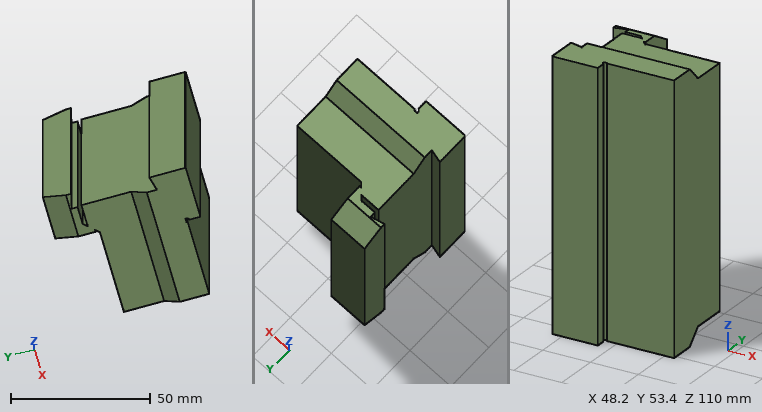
import cadquery as cq

length_x = 48.2
width_y = 53.4
height_z = 110.0

foot_depth = 19.2
foot_corner_chamfer = 0.3
body_front_y = 5.0

relief_inset = 0.7
relief_reach = 1.0
relief_drop = 1.0
relief_rise = 0.4

channel_depth = 5.2
front_lip_y = 13.5
rear_lip_y = 42.8
lip_undercut = 1.3
clip_inner_x = 5.5

clip_depth = 16.3
slit_front_y = 40.4
slit_rear_y = 41.9
slit_end_x = 13.5
body_rear_y = 36.8

notch_outer_x = 16.9
notch_height = 1.4

foot_shoulder_y = 16.0
end_step = 5.8
clip_slope_y = 44.7
clip_slope_drop = 5.0


def make_section():
    """Plan outline of the whole part, extruded over the full height."""
    slit_width = slit_rear_y - slit_front_y
    notch_y = body_rear_y + notch_height
    outline = [
        (foot_corner_chamfer, 0),
        (foot_depth, 0),
        (foot_depth, body_front_y - relief_drop),
        (foot_depth - relief_inset, body_front_y - relief_drop + relief_inset),
        (foot_depth - relief_inset, body_front_y + relief_rise),
        (foot_depth + relief_reach - relief_rise, body_front_y + relief_rise),
        (foot_depth + relief_reach, body_front_y),
        (length_x, body_front_y),
        (length_x, body_rear_y),
        (notch_outer_x, body_rear_y),
        (notch_outer_x - notch_height, notch_y),
        (clip_depth, notch_y),
        (clip_depth, width_y),
        (0, width_y),
        (0, rear_lip_y),
        (clip_inner_x, rear_lip_y + lip_undercut),
        (clip_inner_x, slit_rear_y),
        (slit_end_x - slit_width, slit_rear_y),
        (slit_end_x, slit_front_y),
        (channel_depth, slit_front_y),
        (channel_depth, front_lip_y - lip_undercut),
        (0, front_lip_y),
        (0, foot_corner_chamfer),
    ]
    return cq.Workplane("XY").polyline(outline).close().extrude(height_z)


def make_end_cutter():
    """Material removed above the stepped and sloped top end."""
    step_z = height_z - end_step
    outline = [
        (foot_shoulder_y, height_z),
        (foot_shoulder_y + end_step, step_z),
        (clip_slope_y, step_z),
        (width_y, step_z - clip_slope_drop),
        (width_y, height_z),
    ]
    return cq.Workplane("YZ").polyline(outline).close().extrude(length_x)


top_cutter = make_end_cutter()
bottom_cutter = top_cutter.mirror("XY", (0, 0, height_z / 2))
result = make_section().cut(top_cutter).cut(bottom_cutter)